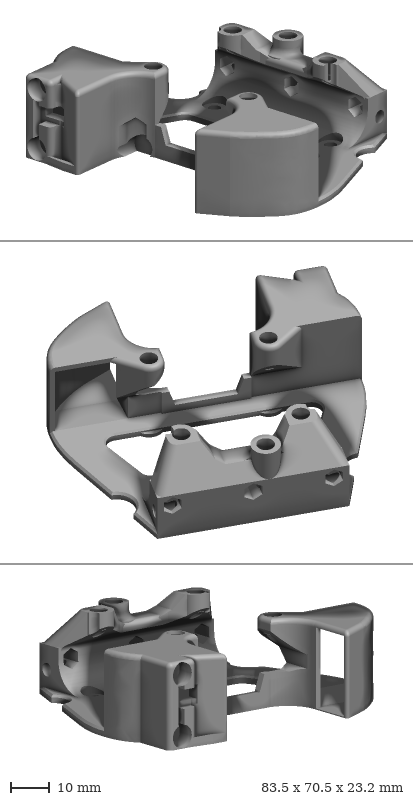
import cadquery as cq
import math

total_height = 23.2
plate_thickness = 2.1
half_width = 41.75
back_y = 28.28
tip_corner_y = -42.71
boss_offset = 16.0
boss_radius = 4.0
overlap = 1.0
far = 60.0
tolerance = 0.1

plate_edge_chamfer = 0.6
notch_center = (32.9, 14.9)
notch_radius = 5.05
notch_back_corner = (29.7, 18.2)
notch_front_corner = (32.9, 10.0)
flank_end = (38.9, -5.0)
flank_direction = (2, -5)
bridge_front_y = -20.1
window_back_y = 5.05
window_front_y = -13.25
window_back_half = 22.3
window_front_half = 30.6
window_corner_radius = 3.0
window_chamfer = 0.5

bridge_back_y = -18.05
bridge_half = 12.0
bridge_height = 9.1
dip_height = 4.35
dip_bottom_half = 8.4
dip_top_half = 10.0

wing_back_y = -18.6
wing_inner_x = 19.5
wing_throat_radius = 8.5
wing_curve = [(39.65, -27.8), (34.0, -34.0), (28.3, -38.2)]
wing_front_direction = (-1.7, -1)
wing_tip_radius = 0.8
boss_inner_x = boss_offset - boss_radius
boss_root = (25.6, wing_back_y)
wing_top_fillet = 1.4
boss_lip_z = 17.0
boss_slope_foot_z = 9.2

shell_wall = 1.4
hollow_curve = [(38.4, -27.2), (33.2, -32.9), (27.6, -37.0)]
hollow_front_y = -41.7
floor_lip = 0.3
gap_top_z = 20.1
gap_apex_x = 19.2
gap_apex_z = 14.0
gap_corner_z = 10.3
gap_floor_x = 16.5
gap_front_y = -30.0

throat_bore_diameter = 6.5
throat_bore_z = 2.1
throat_slot_x = (-19.1, -14.3)
throat_slot_eaves_z = 8.8
throat_slot_peak_z = 10.7
throat_slot_depth = 1.4
throat_pocket_back_y = -19.6
throat_pocket_length = 10.0

block_left_x = -38.4
block_right_x = -29.3
block_front_y = -41.4
block_back_y = -27.0
block_fillet = 1.4
magnet_diameter = 6.2
magnet_x = -34.0
magnet_depth = 5.0
magnet_heights = (3.25, 19.8)
wire_slot_x = (-35.2, -33.3)
wire_slot_z = (6.2, 16.7)
side_pocket_x = (-33.6, -27.0)
side_pocket_z = (11.7, 15.6)
wire_slot_depth = 3.0
side_pocket_depth = 6.0
side_step_z = (10.4, 11.7)
web_front_y = -39.4
web_middle = (-28.9, -38.5)
web_end = (-28.0, -38.1)

strip_left_x = -31.0
strip_bend_x = -24.5
strip_right_x = -20.5
strip_front_y = -42.2
strip_back_y = -40.9
strip_height = 2.3

cradle_half = 25.7
wall_inner_y = 20.5
ledge_z = 13.6
trough_start_y = 12.1
trough_radius = 8.4
ridge_z = 17.9
ridge_inner_y = 17.9
ridge_half = 6.5
saddle_bend = (8.9, 19.2)
saddle_top_half = 11.9
arm_top_half = 20.0
ledge_fillet = 2.0
arm_ridge_fillet = 3.0
arm_flank_start_y = 21.4
arm_flank_end_y = 15.5
arm_inner_start = (12.2, 14.8)
arm_inner_bend = (8.0, 17.4)
lip_fillet = 1.5
overhang_tip_z = 19.5
ledge_run_per_rise = 0.87

post_x = -4.35
post_radius = 3.95
post_y = back_y - post_radius
post_height = 22.1
post_foot_height = 2.0
post_bore = 4.8
insert_diameter = 4.8
insert_depth = 5.0
pilot_diameter = 3.2
pilot_depth = 10.0
floor_screw_x = (-19.9, 19.1)
floor_screw_y = 13.4
floor_screw_diameter = 3.4
floor_head_diameter = 6.5
floor_head_seat_z = 1.2
end_screw_diameter = 3.6
end_screw_y = 25.3
end_screw_z = 7.0
end_screw_depth = 6.0
hex_across_corners = 5.5
hex_spacing = 21.6
hex_z = 10.3


def box(x0, x1, y0, y1, z0, z1):
    """Axis-aligned box between opposite corners."""
    return cq.Workplane("XY").box(x1 - x0, y1 - y0, z1 - z0, centered=False).translate((x0, y0, z0))


def cylinder(x, y, z0, z1, diameter):
    """Upright cylinder."""
    return cq.Workplane("XY", origin=(x, y, z0)).circle(diameter / 2).extrude(z1 - z0)


def across_x(points, x0, x1):
    """Prism with a (y, z) section running along X."""
    return cq.Workplane("YZ", origin=(x0, 0, 0)).polyline(points).close().extrude(x1 - x0)


def along_y(points, y0, y1):
    """Prism with an (x, z) section running along Y."""
    return cq.Workplane("XZ", origin=(0, y1, 0)).polyline(points).close().extrude(y1 - y0)


def both_sides(shape):
    """The shape together with its mirror image across the YZ plane."""
    return shape.union(shape.mirror("YZ"))


def make_plate():
    """Thin base with swept sides, two round notches and a flared trapezoidal window."""
    half = (
        cq.Workplane("XY")
        .moveTo(0, back_y)
        .lineTo(cradle_half, back_y)
        .lineTo(*notch_back_corner)
        .lineTo(*notch_front_corner)
        .lineTo(*flank_end)
        .spline([(half_width, wing_back_y)], tangents=[flank_direction, (0, -1)], includeCurrent=True)
        .lineTo(boss_inner_x, wing_back_y)
        .lineTo(boss_inner_x, bridge_front_y)
        .lineTo(0, bridge_front_y)
        .close()
        .extrude(plate_thickness)
    )
    plate = both_sides(half)
    for side in (-1, 1):
        plate = plate.cut(cylinder(side * notch_center[0], notch_center[1], -overlap, far, 2 * notch_radius))
    window = (
        cq.Workplane("XY")
        .polyline([
            (-window_back_half, window_back_y),
            (window_back_half, window_back_y),
            (window_front_half, window_front_y),
            (-window_front_half, window_front_y),
        ])
        .close()
        .extrude(plate_thickness)
        .edges("|Z").fillet(window_corner_radius)
    )
    plate = plate.cut(window)
    window_rim = cq.selectors.BoxSelector(
        (-window_front_half, window_front_y - tolerance, 0),
        (window_front_half, window_back_y + tolerance, far),
    )
    plate = plate.faces(">Z").edges(window_rim).chamfer(window_chamfer)
    margin = window_chamfer + tolerance
    window_area = cq.selectors.BoxSelector(
        (-window_front_half - margin, window_front_y - margin, 0),
        (window_front_half + margin, window_back_y + margin, far),
    )
    outer_rim = cq.selectors.SubtractSelector(
        cq.selectors.BoxSelector((-far, wing_back_y + tolerance, 0), (far, back_y - tolerance, far)),
        window_area,
    )
    return plate.faces(">Z").edges(outer_rim).chamfer(plate_edge_chamfer)


def make_bridge():
    """Upright wall joining the wings, with a sloped-sided dip in the middle."""
    wall = box(-bridge_half, bridge_half, bridge_front_y, bridge_back_y, 0, bridge_height)
    dip = [
        (-dip_top_half, bridge_height),
        (-dip_bottom_half, dip_height),
        (dip_bottom_half, dip_height),
        (dip_top_half, bridge_height),
    ]
    return wall.cut(along_y(dip, bridge_front_y, bridge_back_y))


def make_wing():
    """Right wing: tall curved body whose top reaches back to a screw boss."""
    throat_x = wing_inner_x - wing_throat_radius
    throat_y = bridge_front_y - wing_throat_radius
    throat_end_angle = math.acos((boss_inner_x - throat_x) / wing_throat_radius)
    throat_end = (boss_inner_x, throat_y + wing_throat_radius * math.sin(throat_end_angle))
    throat_middle = (
        throat_x + wing_throat_radius * math.cos(throat_end_angle / 2),
        throat_y + wing_throat_radius * math.sin(throat_end_angle / 2),
    )
    root_dx = boss_root[0] - boss_offset
    root_dy = boss_root[1] + boss_offset
    tangent_angle = math.atan2(root_dy, root_dx) + math.acos(boss_radius / math.hypot(root_dx, root_dy))
    tangent = (
        boss_offset + boss_radius * math.cos(tangent_angle),
        -boss_offset + boss_radius * math.sin(tangent_angle),
    )
    wing = (
        cq.Workplane("XY")
        .moveTo(half_width, wing_back_y)
        .spline(
            wing_curve,
            tangents=[(0, -1), wing_front_direction],
            includeCurrent=True,
        )
        .lineTo(wing_inner_x, tip_corner_y)
        .lineTo(wing_inner_x, throat_y)
        .threePointArc(throat_middle, throat_end)
        .lineTo(boss_inner_x, -boss_offset)
        .threePointArc((boss_offset, boss_radius - boss_offset), tangent)
        .lineTo(*boss_root)
        .close()
        .extrude(total_height)
    )
    tip = cq.selectors.NearestToPointSelector((wing_inner_x, tip_corner_y, total_height / 2))
    wing = wing.edges("|Z").edges(tip).fillet(wing_tip_radius)
    back_edge = cq.selectors.BoxSelector(
        (boss_root[0], wing_back_y - tolerance, 0), (half_width, wing_back_y + tolerance, far)
    )
    whole_wing = cq.selectors.BoxSelector((0, -far, 0), (far, far, far))
    rounded_edges = cq.selectors.SubtractSelector(whole_wing, back_edge)
    wing = wing.faces(">Z").edges(rounded_edges).fillet(wing_top_fillet)
    under_boss = [
        (wing_back_y, plate_thickness - overlap),
        (wing_back_y, boss_slope_foot_z),
        (boss_radius - boss_offset, boss_lip_z),
        (0, boss_lip_z),
        (0, plate_thickness - overlap),
    ]
    return wing.cut(across_x(under_boss, 0, far))


def make_magnet_block():
    """Square-cornered block beside the left wing with two magnet bores and a wire slot in its face."""
    block = box(block_left_x, block_right_x, block_front_y, block_back_y, 0, total_height)
    block = block.edges("|Z and <Y").fillet(block_fillet)
    block = block.faces(">Z").edges("<X or <Y").fillet(block_fillet)
    web = (
        cq.Workplane("XY")
        .moveTo(block_right_x, web_front_y)
        .threePointArc(web_middle, web_end)
        .lineTo(web_end[0], block_back_y)
        .lineTo(block_right_x, block_back_y)
        .close()
        .extrude(total_height - block_fillet)
    )
    return block.union(web)


def cut_magnet_block(body):
    """Bores for the magnets plus the wire slot and side pocket between them."""
    for z in magnet_heights:
        mouth = cq.Workplane("XZ", origin=(magnet_x, block_front_y, z))
        body = body.cut(mouth.circle(magnet_diameter / 2).extrude(-magnet_depth))
    slot_front = block_front_y - overlap
    slot_back = block_front_y + wire_slot_depth
    body = body.cut(box(*wire_slot_x, slot_front, slot_back, *wire_slot_z))
    body = body.cut(box(*side_pocket_x, slot_front, slot_back, *side_step_z))
    pocket_back = block_front_y + side_pocket_depth
    return body.cut(box(*side_pocket_x, slot_front, pocket_back, *side_pocket_z))


def make_floor_strip():
    """Low strip across the gap between the magnet block and the left wing tip."""
    return (
        cq.Workplane("XY")
        .polyline([
            (strip_left_x, block_front_y),
            (strip_bend_x, strip_front_y),
            (strip_right_x, strip_front_y),
            (strip_right_x, strip_back_y),
            (strip_left_x, strip_back_y),
        ])
        .close()
        .extrude(strip_height)
    )


def make_cradle():
    """Back wall with a rounded trough foot and an overhanging ledge carrying two screw bosses."""
    boss_front_y = boss_offset - boss_radius
    foot = (
        cq.Workplane("YZ", origin=(-cradle_half, 0, 0))
        .moveTo(back_y, 0)
        .lineTo(back_y, ledge_z)
        .lineTo(wall_inner_y, ledge_z)
        .lineTo(wall_inner_y, plate_thickness + trough_radius)
        .threePointArc(
            (
                wall_inner_y - trough_radius * (1 - math.sqrt(0.5)),
                plate_thickness + trough_radius * (1 - math.sqrt(0.5)),
            ),
            (trough_start_y, plate_thickness),
        )
        .lineTo(trough_start_y, 0)
        .close()
        .extrude(2 * cradle_half)
    )
    overhang_section = [
        (back_y, ledge_z),
        (back_y - (total_height - ledge_z) * ledge_run_per_rise, total_height),
        (boss_front_y, total_height),
        (boss_front_y, overhang_tip_z),
        (wall_inner_y, ledge_z),
    ]
    arm_half = (
        cq.Workplane("XY", origin=(0, 0, ledge_z))
        .moveTo(0, back_y)
        .lineTo(cradle_half, back_y)
        .lineTo(cradle_half, arm_flank_start_y)
        .lineTo(boss_offset + boss_radius, arm_flank_end_y)
        .threePointArc((boss_offset, boss_front_y), arm_inner_start)
        .lineTo(*arm_inner_bend)
        .lineTo(ridge_half, ridge_inner_y)
        .lineTo(0, ridge_inner_y)
        .close()
        .extrude(total_height - ledge_z)
    )
    overhang = across_x(overhang_section, -cradle_half, cradle_half).intersect(both_sides(arm_half))
    saddle = [
        (-ridge_half, ridge_z),
        (-saddle_bend[0], saddle_bend[1]),
        (-saddle_top_half, total_height),
        (saddle_top_half, total_height),
        saddle_bend,
        (ridge_half, ridge_z),
    ]
    overhang = overhang.cut(along_y(saddle, 0, far))
    arm_flank = [
        (cradle_half, ledge_z),
        (arm_top_half, total_height),
        (far, total_height),
        (far, ledge_z),
    ]
    overhang = overhang.cut(both_sides(along_y(arm_flank, 0, far)))
    for side in (-1, 1):
        arm_ridge = cq.selectors.NearestToPointSelector((
            side * (cradle_half + arm_top_half) / 2,
            back_y - (total_height - ledge_z) * ledge_run_per_rise / 2,
            (total_height + ledge_z) / 2,
        ))
        overhang = overhang.edges(arm_ridge).fillet(arm_ridge_fillet)
    lip = cq.selectors.NearestToPointSelector((0, ridge_inner_y, ridge_z))
    overhang = overhang.edges("|X").edges(lip).fillet(lip_fillet)
    inner_corner = cq.selectors.NearestToPointSelector((0, wall_inner_y, ledge_z))
    return foot.union(overhang).edges("|X").edges(inner_corner).fillet(ledge_fillet)


def make_post():
    """Round post on the ledge with a flared foot."""
    post = cylinder(post_x, post_y, ledge_z, post_height, 2 * post_radius)
    flare_top_z = ridge_z + post_foot_height
    flare = (
        cq.Workplane("XZ", origin=(post_x, post_y, 0))
        .moveTo(0, ridge_z - overlap)
        .lineTo(post_radius + post_foot_height, ridge_z - overlap)
        .lineTo(post_radius + post_foot_height, ridge_z)
        .radiusArc((post_radius, flare_top_z), post_foot_height)
        .lineTo(0, flare_top_z)
        .close()
        .revolve(360, (0, 0, 0), (0, 1, 0))
    )
    slope_side = box(-far, far, post_y, far, 0, far)
    return post.union(flare.cut(slope_side))


def cut_boss_screws(body):
    """Insert pockets with pilot holes beneath in the four bosses."""
    for x in (-boss_offset, boss_offset):
        for y in (-boss_offset, boss_offset):
            body = body.cut(cylinder(x, y, total_height - insert_depth, far, insert_diameter))
            body = body.cut(cylinder(x, y, total_height - pilot_depth, far, pilot_diameter))
    return body


def cut_floor_screws(body):
    """Counterbored screw holes at the foot of the trough."""
    for x in floor_screw_x:
        body = body.cut(cylinder(x, floor_screw_y, -overlap, far, floor_screw_diameter))
        body = body.cut(cylinder(x, floor_screw_y, floor_head_seat_z, ledge_z, floor_head_diameter))
    return body


def cut_cradle_screws(body):
    """Blind screw holes in both ends, and hexagonal tunnels through the back wall."""
    for side in (-1, 1):
        screw = cq.Workplane("YZ", origin=(side * cradle_half, end_screw_y, end_screw_z))
        body = body.cut(screw.circle(end_screw_diameter / 2).extrude(-side * end_screw_depth))
    for x in (-hex_spacing, 0, hex_spacing):
        tunnel = (
            cq.Workplane("XZ", origin=(x, back_y + overlap, hex_z))
            .transformed(rotate=(0, 0, 90))
            .polygon(6, hex_across_corners)
            .extrude(back_y - trough_start_y)
        )
        body = body.cut(tunnel)
    return body


def cut_right_hollow(body):
    """Shell out the right wing, leaving it open towards the throat and at the back, with a ramped floor."""
    inner_half_width = half_width - shell_wall
    hollow = (
        cq.Workplane("XY", origin=(0, 0, -overlap))
        .moveTo(inner_half_width, wing_back_y + overlap)
        .lineTo(inner_half_width, wing_back_y)
        .spline(
            hollow_curve,
            tangents=[(0, -1), wing_front_direction],
            includeCurrent=True,
        )
        .lineTo(wing_inner_x - overlap, hollow_front_y)
        .lineTo(wing_inner_x - overlap, bridge_front_y - wing_throat_radius - overlap)
        .lineTo(wing_inner_x + shell_wall, bridge_front_y - wing_throat_radius - overlap)
        .lineTo(wing_inner_x + shell_wall, wing_back_y + overlap)
        .close()
        .extrude(total_height - shell_wall + overlap)
    )
    throat_y = bridge_front_y - wing_throat_radius
    floor = [
        (-far, -overlap),
        (-far, floor_lip),
        (throat_y, floor_lip),
        (wing_back_y, plate_thickness),
        (0, plate_thickness),
        (0, -overlap),
    ]
    return body.cut(hollow.cut(across_x(floor, 0, far)))


def cut_right_gap(body):
    """Wedge-shaped opening under the right boss, through the throat wall."""
    wedge = [
        (boss_inner_x - overlap, gap_top_z + overlap),
        (boss_inner_x, gap_top_z),
        (gap_apex_x, gap_apex_z),
        (gap_apex_x, gap_corner_z),
        (gap_floor_x, bridge_height),
        (boss_inner_x - overlap, bridge_height),
    ]
    return body.cut(along_y(wedge, gap_front_y, boss_radius - boss_offset))


def cut_left_throat(body):
    """Round-topped pocket and pointed slot in the left throat wall."""
    pocket = cq.Workplane("XZ", origin=(-boss_offset, throat_pocket_back_y, throat_bore_z))
    body = body.cut(pocket.circle(throat_bore_diameter / 2).extrude(throat_pocket_length))
    roof = [
        (throat_slot_x[0], throat_bore_z),
        (throat_slot_x[0], throat_slot_eaves_z),
        (sum(throat_slot_x) / 2, throat_slot_peak_z),
        (throat_slot_x[1], throat_slot_eaves_z),
        (throat_slot_x[1], throat_bore_z),
    ]
    slot = along_y(roof, throat_pocket_back_y - throat_pocket_length, throat_pocket_back_y)
    throat_x = wing_throat_radius - wing_inner_x
    throat_y = bridge_front_y - wing_throat_radius
    slot_limit = cylinder(throat_x, throat_y, 0, far, 2 * (wing_throat_radius + throat_slot_depth))
    return body.cut(slot.intersect(slot_limit))


def build():
    """Join all bodies, then cut the holes and openings."""
    wing = make_wing()
    right_wing = cut_right_hollow(cut_right_gap(wing))
    left_wing = wing.mirror("YZ")
    body = make_plate().union(make_bridge()).union(right_wing).union(left_wing)
    body = body.union(make_magnet_block()).union(make_floor_strip())
    body = body.union(make_cradle()).union(make_post())
    body = body.cut(cylinder(post_x, post_y, -overlap, far, post_bore))
    body = cut_magnet_block(body)
    body = cut_left_throat(body)
    body = cut_boss_screws(body)
    body = cut_floor_screws(body)
    return cut_cradle_screws(body)


result = build()